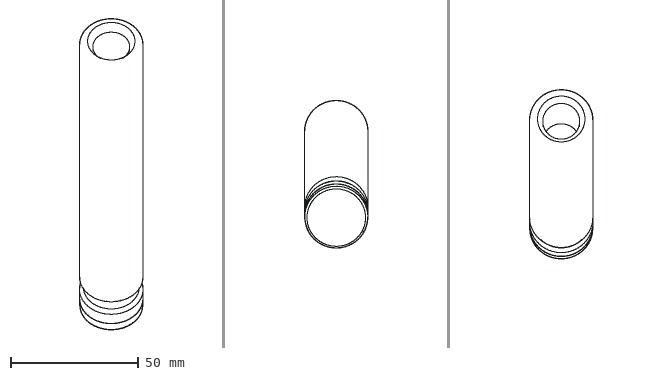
import cadquery as cq
import math

length = 170.0
pillar_radius = 12.5
top_round = 2.5

foot_relief = 0.1
foot_radius = pillar_radius - foot_relief
foot_height = 5.0
foot_chamfer = 0.9

groove_radius = 11.0
groove_floor_bottom = 12.5
groove_floor_top = 17.5
groove_flank = pillar_radius - groove_radius

bore_radius = 7.25
bore_depth = 35.0
drill_point_angle = 118.0
mouth_radius = 9.3
mouth_cone_angle = 60.0

drill_point_height = bore_radius / math.tan(math.radians(drill_point_angle / 2))
mouth_depth = (mouth_radius - bore_radius) / math.tan(math.radians(mouth_cone_angle / 2))


def make_foot():
    """Slimmer lowest section of the pillar, chamfered around its bottom edge."""
    foot = cq.Workplane("XY").circle(foot_radius).extrude(foot_height)
    return foot.faces("<Z").edges().chamfer(foot_chamfer)


def make_shank():
    """Grooved shank with a rounded top edge, as a revolved half profile."""
    round_start = length - top_round
    round_offset = top_round * math.sin(math.pi / 4)
    round_middle = (pillar_radius - top_round + round_offset, round_start + round_offset)
    return (
        cq.Workplane("XZ")
        .moveTo(0, foot_height)
        .lineTo(pillar_radius, foot_height)
        .lineTo(pillar_radius, groove_floor_bottom - groove_flank)
        .lineTo(groove_radius, groove_floor_bottom)
        .lineTo(groove_radius, groove_floor_top)
        .lineTo(pillar_radius, groove_floor_top + groove_flank)
        .lineTo(pillar_radius, round_start)
        .threePointArc(round_middle, (pillar_radius - top_round, length))
        .lineTo(0, length)
        .close()
        .revolve(360, (0, 0, 0), (0, 1, 0))
    )


def make_hole():
    """Blind hole with a conical mouth and a drill-point end."""
    bore_end = length - bore_depth
    return (
        cq.Workplane("XZ")
        .moveTo(0, bore_end - drill_point_height)
        .lineTo(bore_radius, bore_end)
        .lineTo(bore_radius, length - mouth_depth)
        .lineTo(mouth_radius, length)
        .lineTo(0, length)
        .close()
        .revolve(360, (0, 0, 0), (0, 1, 0))
    )


pillar = make_foot().union(make_shank())
result = pillar.cut(make_hole())